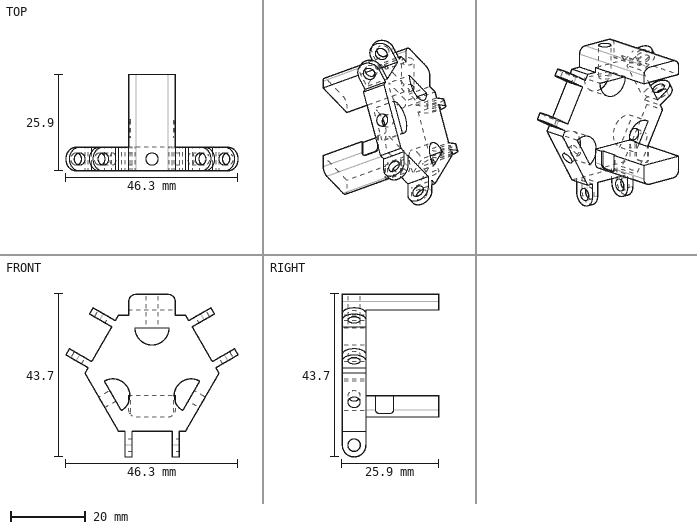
import cadquery as cq
import math

plate_thickness = 6.4
hex_apothem = 15.6
hex_circumradius = hex_apothem / math.cos(math.radians(30))
mid_thickness = plate_thickness / 2

front_plane = cq.Plane(origin=(0, 0, 0), xDir=(-1, 0, 0), normal=(0, 1, 0))

lug_tip_radius = 22.5
lug_outer_offset = 7.3
lug_thickness = 1.95
lug_end_radius = mid_thickness
lug_hole_diameter = 3.3
lug_angles = (270, 30, 150)

window_flat_distance = 12.1
window_radius = 4.55
screw_hole_diameter = 3.3
window_angles = (90, 210, 330)

arm_length = 25.9
arm_width = 12.55
arm_corner_radius = 1.95
upper_arm_top = 21.2
upper_arm_thickness = 4.25
lower_arm_top = -6.0
lower_arm_thickness = 5.75

pocket_start = 8.93
pocket_width = 4.85
pocket_height = 4.75
pocket_corner_radius = 0.92
pocket_depth = 0.45


def turn(shape, angle):
    """Turn a shape modelled along +Z so that it points along the given angle in XZ."""
    return shape.rotate((0, 0, 0), (0, 1, 0), 90 - angle)


def block(width, length, bottom, top):
    """Box centred on x = 0 that starts at y = 0."""
    return cq.Workplane("XY", origin=(0, 0, bottom)).box(
        width, length, top - bottom, centered=(True, False, False)
    )


def hex_plate():
    """Regular hexagon with corners on the X axis."""
    return cq.Workplane(front_plane).polygon(6, 2 * hex_circumradius).extrude(plate_thickness)


def lug_pair():
    """Two round-ended lugs pointing along +Z, with a common hinge hole."""
    hole_height = lug_tip_radius - lug_end_radius
    pair = cq.Workplane("XY")
    for inner_face in (lug_outer_offset - lug_thickness, -lug_outer_offset):
        lug = (
            cq.Workplane("YZ", origin=(inner_face, 0, 0))
            .moveTo(0, hex_apothem)
            .lineTo(0, hole_height)
            .threePointArc((mid_thickness, lug_tip_radius), (plate_thickness, hole_height))
            .lineTo(plate_thickness, hex_apothem)
            .close()
            .extrude(lug_thickness)
        )
        pair = pair.add(lug)
    hole = (
        cq.Workplane("YZ", origin=(-lug_outer_offset, 0, 0))
        .center(mid_thickness, hole_height)
        .circle(lug_hole_diameter / 2)
        .extrude(2 * lug_outer_offset)
    )
    return pair.combine().cut(hole)


def window():
    """Half-moon opening through the plate, flat side outwards along +Z."""
    return (
        cq.Workplane(front_plane)
        .moveTo(-window_radius, window_flat_distance)
        .threePointArc(
            (0, window_flat_distance - window_radius), (window_radius, window_flat_distance)
        )
        .close()
        .extrude(plate_thickness)
    )


def screw_hole():
    """Radial hole along +Z from the window's flat side, long enough to pass the upper arm."""
    return (
        cq.Workplane("XY", origin=(0, mid_thickness, window_flat_distance))
        .circle(screw_hole_diameter / 2)
        .extrude(upper_arm_top - window_flat_distance)
    )


def upper_arm():
    """Arm above the plate with its root block, rounded along both top edges."""
    root = block(arm_width, plate_thickness, hex_apothem, upper_arm_top)
    arm = block(arm_width, arm_length, upper_arm_top - upper_arm_thickness, upper_arm_top)
    return root.union(arm).edges("|Y and >Z").fillet(arm_corner_radius)


def lower_arm():
    """Arm behind the plate, rounded along both bottom edges, with a pocket in each flank."""
    arm = block(arm_width, arm_length, lower_arm_top - lower_arm_thickness, lower_arm_top)
    arm = arm.edges("|Y and <Z").fillet(arm_corner_radius)
    for flank in (-1, 1):
        pocket = (
            block(2 * pocket_depth, pocket_width, lower_arm_top - pocket_height, lower_arm_top)
            .edges("|X and <Z")
            .fillet(pocket_corner_radius)
            .translate((flank * arm_width / 2, pocket_start, 0))
        )
        arm = arm.cut(pocket)
    return arm


result = hex_plate().union(upper_arm()).union(lower_arm())
for angle in lug_angles:
    result = result.union(turn(lug_pair(), angle))
for angle in window_angles:
    result = result.cut(turn(window(), angle)).cut(turn(screw_hole(), angle))